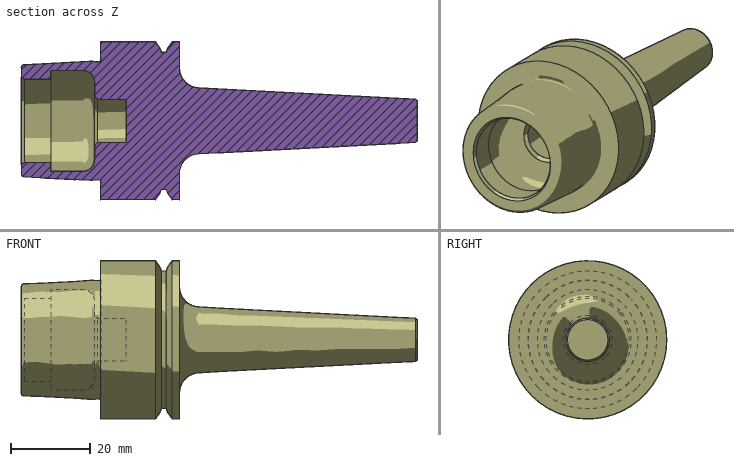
import cadquery as cq
import math


length = 100.0
collar_radius = 20.0
collar_front_x = 20.0
collar_back_x = 40.0

shank_small_radius = 14.2
shank_large_radius = 15.1
shank_large_x = 17.9
shank_rim_round = 0.7

neck_radius = 15.0
neck_front_x = 18.7
neck_back_x = 19.7
undercut_round = 0.4
undercut_outer_radius = 16.1

groove_center_x = 36.0
groove_mouth_width = 4.2
groove_throat_width = 1.8
groove_throat_radius = 18.3
groove_floor_width = 1.2
groove_floor_radius = 17.4

stem_half_angle = math.radians(3)
stem_tip_radius = 5.5
stem_tip_chamfer = 0.4
stem_root_fillet = 5.0

bore_radius = 10.5
bore_chamfer_radius = 11.0
bore_chamfer_length = 0.8
bore_depth = 7.5
chamber_radius = 12.7
chamber_depth = 18.5
chamber_floor_round = 2.9
tube_hole_radius = 5.4
tube_hole_chamfer = 0.8
tube_hole_depth = 8.0


def point_on_arc(center, radius, degrees):
    """Point at the given angle on a circle in the XY plane."""
    angle = math.radians(degrees)
    return (center[0] + radius * math.cos(angle), center[1] + radius * math.sin(angle))


def revolve_around_axis(outline):
    """Close an outline that starts and ends on the X axis and spin it into a solid."""
    return outline.close().revolve(360, (0, 0, 0), (1, 0, 0))


def add_shank(outline):
    """Rounded rim, taper, neck and the undercut into the collar face."""
    rim_center = (shank_rim_round, shank_small_radius - shank_rim_round)
    undercut_center = (neck_back_x, neck_radius + undercut_round)
    return (
        outline
        .lineTo(0, rim_center[1])
        .threePointArc(point_on_arc(rim_center, shank_rim_round, 135), (shank_rim_round, shank_small_radius))
        .lineTo(shank_large_x, shank_large_radius)
        .lineTo(neck_front_x, neck_radius)
        .lineTo(neck_back_x, neck_radius)
        .threePointArc(
            point_on_arc(undercut_center, undercut_round, -45),
            point_on_arc(undercut_center, undercut_round, 0),
        )
        .lineTo(collar_front_x, undercut_outer_radius)
    )


def add_collar(outline):
    """Collar with its gripper groove, symmetric about groove_center_x."""
    groove_half = [
        (groove_mouth_width / 2, collar_radius),
        (groove_throat_width / 2, groove_throat_radius),
        (groove_floor_width / 2, groove_floor_radius),
    ]
    outline = outline.lineTo(collar_front_x, collar_radius)
    for half_width, radius in groove_half:
        outline = outline.lineTo(groove_center_x - half_width, radius)
    for half_width, radius in reversed(groove_half):
        outline = outline.lineTo(groove_center_x + half_width, radius)
    return outline.lineTo(collar_back_x, collar_radius)


def add_stem(outline):
    """Fillet tangent to the collar back and the taper, then the taper and its chamfered tip."""
    tip_x = length - stem_tip_chamfer
    fillet_end_x = collar_back_x + stem_root_fillet * (1 - math.sin(stem_half_angle))
    fillet_end_radius = stem_tip_radius + (tip_x - fillet_end_x) * math.tan(stem_half_angle)
    fillet_center = (
        collar_back_x + stem_root_fillet,
        fillet_end_radius + stem_root_fillet * math.cos(stem_half_angle),
    )
    return (
        outline
        .lineTo(collar_back_x, fillet_center[1])
        .threePointArc(
            point_on_arc(fillet_center, stem_root_fillet, 225),
            (fillet_end_x, fillet_end_radius),
        )
        .lineTo(tip_x, stem_tip_radius)
        .lineTo(length, stem_tip_radius - stem_tip_chamfer)
        .lineTo(length, 0)
    )


def make_body():
    outline = cq.Workplane("XY").moveTo(0, 0)
    outline = add_shank(outline)
    outline = add_collar(outline)
    outline = add_stem(outline)
    return revolve_around_axis(outline)


def make_hollow():
    """Space inside the shank, from the chamfered mouth to the bottom of the coolant tube hole."""
    floor_round_center = (chamber_depth - chamber_floor_round, chamber_radius - chamber_floor_round)
    tube_hole_end_x = chamber_depth + tube_hole_depth
    outline = (
        cq.Workplane("XY")
        .moveTo(0, 0)
        .lineTo(0, bore_chamfer_radius)
        .lineTo(bore_chamfer_length, bore_radius)
        .lineTo(bore_depth, bore_radius)
        .lineTo(bore_depth, chamber_radius)
        .lineTo(floor_round_center[0], chamber_radius)
        .threePointArc(
            point_on_arc(floor_round_center, chamber_floor_round, 45),
            point_on_arc(floor_round_center, chamber_floor_round, 0),
        )
        .lineTo(chamber_depth, tube_hole_radius + tube_hole_chamfer)
        .lineTo(chamber_depth + tube_hole_chamfer, tube_hole_radius)
        .lineTo(tube_hole_end_x, tube_hole_radius)
        .lineTo(tube_hole_end_x, 0)
    )
    return revolve_around_axis(outline)


result = make_body().cut(make_hollow())